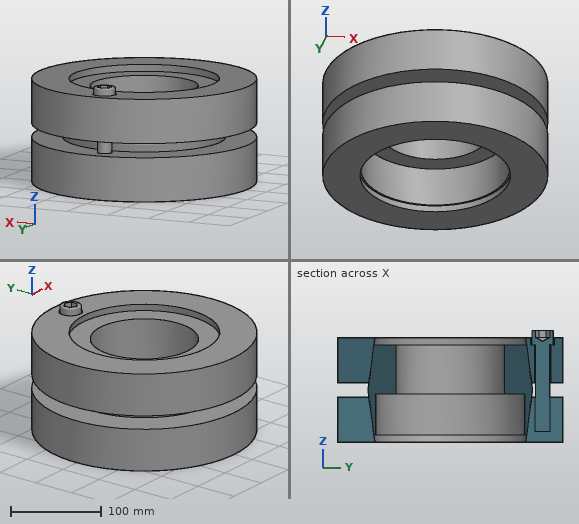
import cadquery as cq
import math

disc_diameter = 250.0
disc_thickness = 50.0
disc_gap = 16.0
upper_disc_base = disc_thickness + disc_gap
stack_height = upper_disc_base + disc_thickness
mid_height = stack_height / 2

ring_bore = 120.0
ring_step_height = 53.5
ring_counterbore = 165.0
ridge_diameter = 183.0
seat_mouth_diameter = 167.0
ring_recess = 8.0
taper_slope = (ridge_diameter - seat_mouth_diameter) / 2 / mid_height
ring_end_radius = seat_mouth_diameter / 2 + ring_recess * taper_slope

screw_y = 102.5
head_diameter = 24.0
head_height = 16.0
head_projection = 8.0
head_fillet = 1.5
shank_diameter = 16.0
shank_end = 12.5
socket_flats = 13.8
socket_depth = 8.0
socket_tip_angle = 120.0
clearance_diameter = 18.0
counterbore_diameter = 26.0
head_top = stack_height + head_projection
head_seat = head_top - head_height


def cylinder(diameter, bottom, top, y=0.0):
    """Vertical cylinder between two heights."""
    return cq.Workplane("XY", origin=(0, y, bottom)).circle(diameter / 2).extrude(top - bottom)


def double_cone():
    """Solid enclosed by the two opposed tapers over the full stack height."""
    mouth_radius = seat_mouth_diameter / 2
    profile = [
        (0, 0),
        (mouth_radius, 0),
        (ridge_diameter / 2, mid_height),
        (mouth_radius, stack_height),
        (0, stack_height),
    ]
    return cq.Workplane("XZ").polyline(profile).close().revolve(360, (0, 0), (0, 1))


def make_lower_disc():
    """Disc with a tapered seat and a blind hole that holds the screw shank."""
    disc = cylinder(disc_diameter, 0, disc_thickness).cut(double_cone())
    return disc.cut(cylinder(shank_diameter, shank_end, disc_thickness, screw_y))


def make_upper_disc():
    """Disc with a tapered seat and a counterbored clearance hole for the screw."""
    disc = cylinder(disc_diameter, upper_disc_base, stack_height).cut(double_cone())
    disc = disc.cut(cylinder(clearance_diameter, upper_disc_base, stack_height, screw_y))
    return disc.cut(cylinder(counterbore_diameter, head_seat, stack_height, screw_y))


def make_inner_ring():
    """Ring counterbored from below, with two tapers that meet in a ridge at mid height."""
    profile = [
        (ring_counterbore / 2, ring_recess),
        (ring_end_radius, ring_recess),
        (ridge_diameter / 2, mid_height),
        (ring_end_radius, stack_height - ring_recess),
        (ring_bore / 2, stack_height - ring_recess),
        (ring_bore / 2, ring_step_height),
        (ring_counterbore / 2, ring_step_height),
    ]
    return cq.Workplane("XZ").polyline(profile).close().revolve(360, (0, 0), (0, 1))


def make_screw():
    """Socket head screw with a rounded head edge and a cone-bottomed hexagon socket."""
    head = cylinder(head_diameter, head_seat, head_top, screw_y).faces(">Z").edges().fillet(head_fillet)
    screw = head.union(cylinder(shank_diameter, shank_end, head_seat, screw_y))

    socket_corners = socket_flats / math.cos(math.pi / 6)
    socket = (
        cq.Workplane("XY", origin=(0, screw_y, head_top))
        .transformed(rotate=(0, 0, 90))
        .polygon(6, socket_corners)
        .extrude(-socket_depth)
    )
    tip_depth = socket_flats / 2 / math.tan(math.radians(socket_tip_angle / 2))
    socket_bottom = cq.Vector(0, screw_y, head_top - socket_depth)
    tip = cq.Solid.makeCone(socket_flats / 2, 0, tip_depth, socket_bottom, cq.Vector(0, 0, -1))
    return screw.cut(socket).cut(cq.Workplane(tip))


lower_disc = make_lower_disc()
upper_disc = make_upper_disc()
inner_ring = make_inner_ring()
screw = make_screw()

result = cq.Compound.makeCompound([lower_disc.val(), upper_disc.val(), inner_ring.val(), screw.val()])